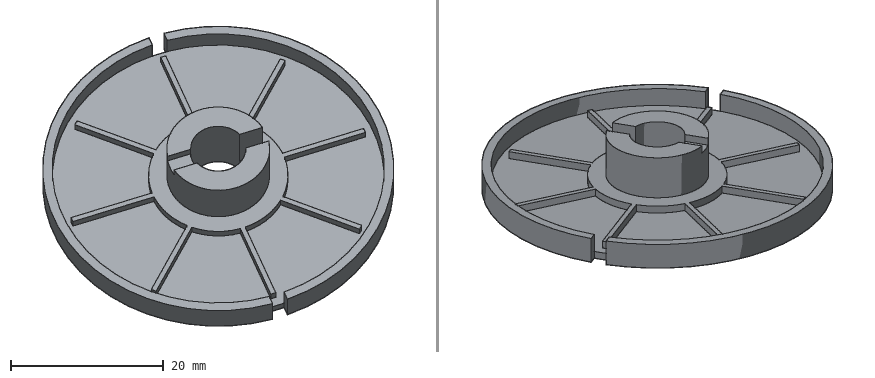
import cadquery as cq

outer_diameter = 45.9
rim_inner_diameter = 43.4
rim_height = 3.5
floor_thickness = 1.0
rim_gap_width = 2.05

flange_diameter = 18.2
flange_top = 2.0
rib_count = 8
rib_width = 0.7
rib_end_radius = 20.43

hub_diameter = 13.45
hub_top = 7.9
bore_diameter = 7.2
hub_slot_width = 2.35
shallow_slot_depth = 1.0


def cylinder(diameter, bottom, top):
    """Solid cylinder on the Z axis between two levels."""
    return cq.Workplane("XY").workplane(offset=bottom).circle(diameter / 2).extrude(top - bottom)


def make_rim():
    """Wall around the disc, cut through by a gap on each side along X."""
    rim = cylinder(outer_diameter, 0, rim_height).cut(cylinder(rim_inner_diameter, 0, rim_height))
    gaps = cq.Workplane("XY").rect(2 * outer_diameter, rim_gap_width).extrude(rim_height)
    return rim.cut(gaps)


def make_rib(angle):
    """Radial rib that starts inside the flange and stops short of the rim."""
    start_radius = (bore_diameter + flange_diameter) / 4
    length = rib_end_radius - start_radius
    rib = (
        cq.Workplane("XY")
        .center(start_radius + length / 2, 0)
        .rect(length, rib_width)
        .extrude(flange_top)
    )
    return rib.rotate((0, 0, 0), (0, 0, 1), angle)


def make_hub_slot(side, floor_level):
    """Cutter from the axis out through the hub wall; side is +1 for +Y, -1 for -Y."""
    length = hub_diameter
    return (
        cq.Workplane("XY")
        .workplane(offset=floor_level)
        .center(0, side * length / 2)
        .rect(hub_slot_width, length)
        .extrude(hub_top - floor_level)
    )


result = cylinder(rim_inner_diameter, 0, floor_thickness).union(make_rim())

result = result.union(cylinder(flange_diameter, 0, flange_top))
for index in range(rib_count):
    result = result.union(make_rib(index * 360 / rib_count))

result = result.union(cylinder(hub_diameter, 0, hub_top))
result = result.cut(make_hub_slot(1, flange_top))
result = result.cut(make_hub_slot(-1, hub_top - shallow_slot_depth))

result = result.cut(cylinder(bore_diameter, 0, hub_top))